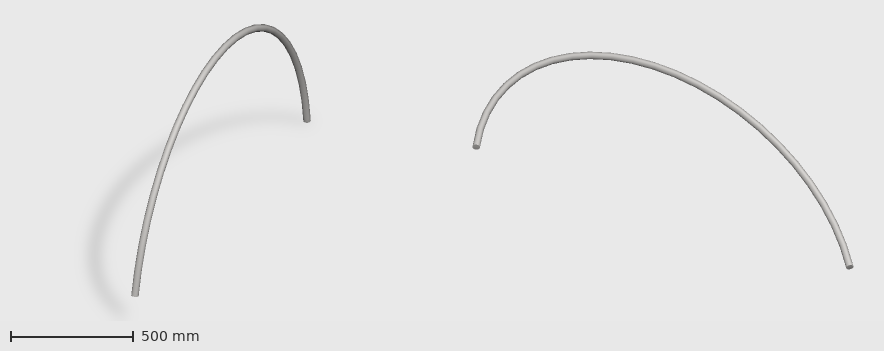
import cadquery as cq
import math

overall_length = 1792.0
overall_height = 806.0
rod_diameter = 30.0
outer_radius = 912.0

rod_radius = rod_diameter / 2
bend_radius = outer_radius - rod_radius
inner_radius = outer_radius - rod_diameter

long_leg_angle = math.asin((outer_radius - overall_height) / inner_radius)

long_leg_reach = outer_radius * math.cos(long_leg_angle)
short_leg_angle = math.acos((overall_length - long_leg_reach) / outer_radius)


def bend_point(side, angle):
    """Point (Y, Z) on the rod centreline, raised by angle from the side's Y axis."""
    return (side * bend_radius * math.cos(angle), bend_radius * math.sin(angle))


long_leg_end = bend_point(1, long_leg_angle)
short_leg_end = bend_point(-1, short_leg_angle)

centreline = (
    cq.Workplane("YZ")
    .moveTo(*long_leg_end)
    .threePointArc((0, bend_radius), short_leg_end)
)

end_plane = cq.Plane(
    origin=(0, *long_leg_end),
    xDir=(1, 0, 0),
    normal=(0, -math.sin(long_leg_angle), math.cos(long_leg_angle)),
)
result = cq.Workplane(end_plane).circle(rod_radius).sweep(centreline)